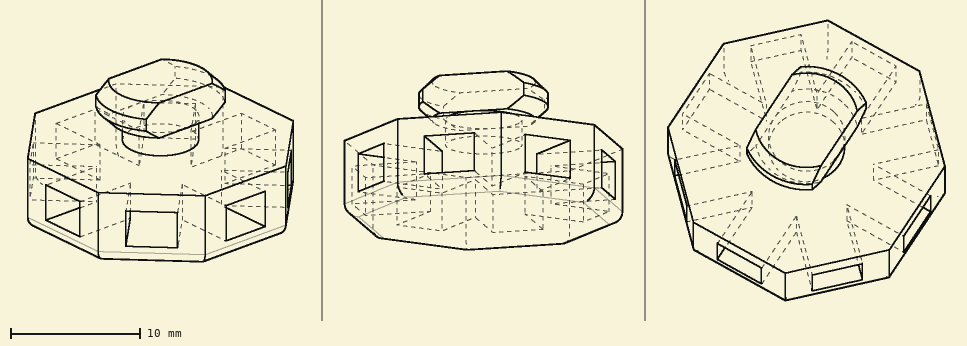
import cadquery as cq
import math

base_width = 20.0
base_height = 6.0
bottom_round = 1.0

tunnel_width = 4.0
tunnel_height = 3.0
tunnel_floor = 1.5
side_count = 8

stem_diameter = 5.9
stem_height = 2.0
head_diameter = 10.0
head_height = 3.0
head_chamfer = 1.0
head_width = stem_diameter


def make_base():
    corner_diameter = base_width / math.cos(math.pi / side_count)
    base = (
        cq.Workplane("XY")
        .polygon(side_count, corner_diameter)
        .extrude(base_height)
        .rotate((0, 0, 0), (0, 0, 1), 180 / side_count)
    )
    return base.faces("<Z").edges().fillet(bottom_round)


def make_tunnel(angle):
    return (
        cq.Workplane("XY")
        .workplane(offset=tunnel_floor)
        .rect(tunnel_width, 2 * base_width)
        .extrude(tunnel_height)
        .rotate((0, 0, 0), (0, 0, 1), angle)
    )


def make_stem():
    return (
        cq.Workplane("XY")
        .workplane(offset=base_height)
        .circle(stem_diameter / 2)
        .extrude(stem_height)
    )


def make_head():
    head_bottom = base_height + stem_height
    disc = (
        cq.Workplane("XY")
        .workplane(offset=head_bottom)
        .circle(head_diameter / 2)
        .extrude(head_height)
        .edges()
        .chamfer(head_chamfer)
    )
    flats = (
        cq.Workplane("XY")
        .workplane(offset=head_bottom)
        .rect(head_width, head_diameter)
        .extrude(head_height)
    )
    return disc.intersect(flats)


result = make_base()
for index in range(side_count // 2):
    result = result.cut(make_tunnel(index * 360 / side_count))
result = result.union(make_stem()).union(make_head())